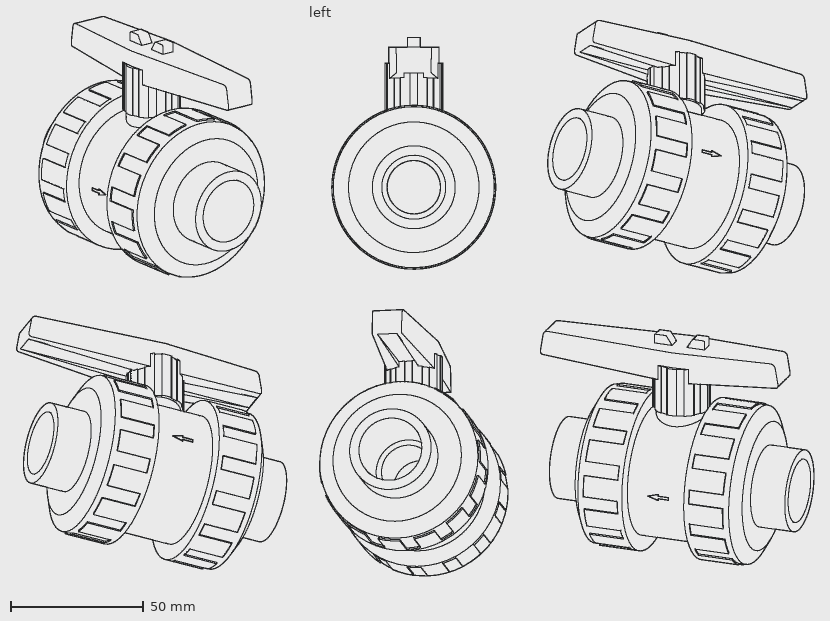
import cadquery as cq


OVERALL_LENGTH = 102.5
OVERALL_HEIGHT = 87.6

PIPE_END_X = 47.6
PIPE_RADIUS = 15.7
PIPE_BORE_RADIUS = 12.1
BALL_BORE_RADIUS = 10.0
BODY_RADIUS = 25.0

NUT_INNER_X = 12.5
NUT_OUTER_X = 33.7
NUT_DIAMETER = 62.0
NUT_RADIUS = NUT_DIAMETER / 2
NUT_RIM_RADIUS = 30.4
NUT_FACE_RADIUS = 24.7
NUT_CHAMFER_LENGTH = 3.3
NUT_RIM_LENGTH = 2.4
NUT_COLLAR_LENGTH = 1.9
GRIP_GROOVE_COUNT = 14
GRIP_GROOVE_ANGLE = 10.1
GRIP_GROOVE_OFFSET_ANGLE = 7.9

NECK_RADIUS = 9.6
STEM_RADIUS = 11.0
STEM_BOTTOM_Z = 28.0
STEM_TOP_Z = 46.9
FLUTE_COUNT = 10
FLUTE_WIDTH = 2.9
FLUTE_FLOOR_RADIUS = 10.5

HANDLE_LEFT_X = -41.3
HANDLE_RIGHT_X = OVERALL_LENGTH - PIPE_END_X
HANDLE_TOP_Z = 53.0
HANDLE_END_BOTTOM_Z = 43.3
HANDLE_MIDDLE_BOTTOM_Z = 40.8
HANDLE_LIP_TOP_Z = 45.1
HANDLE_END_LEAN = 1.3
HANDLE_MIDDLE_HALF_WIDTH = 9.5
HANDLE_LEFT_HALF_WIDTH = 6.6
HANDLE_RIGHT_HALF_WIDTH = 5.6
HANDLE_TOP_FILLET = 1.9
HANDLE_BOTTOM_FILLET = 0.9
SLOT_WIDTH = 7.4

TAB_TOP_Z = OVERALL_HEIGHT - NUT_RADIUS
TAB_OUTER_X = 10.1
TAB_TOP_INNER_X = 5.3
TAB_BASE_INNER_X = 3.0
TAB_WIDTH = 4.9
TAB_FILLET = 0.6

ARROW_HALF_LENGTH = 4.2
ARROW_SHAFT_HALF_HEIGHT = 0.5
ARROW_HEAD_HALF_HEIGHT = 1.2
ARROW_RAISE = 0.3


def x_cylinder(radius, half_length):
    """Cylinder on the pipe axis, centred on the origin."""
    return cq.Workplane("YZ").circle(radius).extrude(half_length, both=True)


def union_nut():
    """Nut on the +X side, with its grip grooves open towards the outer rim."""
    rim_end_x = NUT_OUTER_X - NUT_CHAMFER_LENGTH
    step_x = rim_end_x - NUT_RIM_LENGTH
    groove_end_x = NUT_INNER_X + NUT_COLLAR_LENGTH
    cutter_radius = 2 * NUT_RADIUS - NUT_RIM_RADIUS
    nut = (
        cq.Workplane("XY")
        .moveTo(NUT_INNER_X, 0)
        .lineTo(NUT_INNER_X, NUT_RADIUS)
        .lineTo(step_x, NUT_RADIUS)
        .lineTo(step_x, NUT_RIM_RADIUS)
        .lineTo(rim_end_x, NUT_RIM_RADIUS)
        .lineTo(NUT_OUTER_X, NUT_FACE_RADIUS)
        .lineTo(NUT_OUTER_X, 0)
        .close()
        .revolve(360, (0, 0), (1, 0))
    )
    groove = (
        cq.Workplane("XY")
        .moveTo(groove_end_x, NUT_RIM_RADIUS)
        .lineTo(step_x, NUT_RIM_RADIUS)
        .lineTo(step_x, cutter_radius)
        .lineTo(groove_end_x, cutter_radius)
        .close()
        .revolve(GRIP_GROOVE_ANGLE, (0, 0), (1, 0))
    )
    for index in range(GRIP_GROOVE_COUNT):
        middle_angle = index * 360 / GRIP_GROOVE_COUNT - GRIP_GROOVE_OFFSET_ANGLE
        nut = nut.cut(groove.rotate((0, 0, 0), (1, 0, 0), middle_angle - GRIP_GROOVE_ANGLE / 2))
    return nut


def flow_arrow():
    """Arrow plate through the body, standing slightly proud of it on both sides."""
    upper_side = [
        (-ARROW_HALF_LENGTH, ARROW_SHAFT_HALF_HEIGHT),
        (0, ARROW_SHAFT_HALF_HEIGHT),
        (0, ARROW_HEAD_HALF_HEIGHT),
    ]
    lower_side = [(x, -z) for x, z in reversed(upper_side)]
    outline = upper_side + [(ARROW_HALF_LENGTH, 0)] + lower_side
    return cq.Workplane("XZ").polyline(outline).close().extrude(BODY_RADIUS + ARROW_RAISE, both=True)


def stem():
    """Plain neck rising from the body into a fluted stem."""
    neck = cq.Workplane("XY").circle(NECK_RADIUS).extrude(STEM_TOP_Z)
    fluted = (
        cq.Workplane("XY", origin=(0, 0, STEM_BOTTOM_Z))
        .circle(STEM_RADIUS)
        .extrude(STEM_TOP_Z - STEM_BOTTOM_Z)
    )
    flute = cq.Workplane("XY").box(
        STEM_RADIUS, FLUTE_WIDTH, STEM_TOP_Z, centered=(False, True, False)
    ).translate((FLUTE_FLOOR_RADIUS, 0, STEM_BOTTOM_Z))
    for index in range(FLUTE_COUNT):
        fluted = fluted.cut(flute.rotate((0, 0, 0), (0, 0, 1), index * 360 / FLUTE_COUNT))
    return neck.union(fluted)


def handle():
    """Lever that tapers in width and in depth towards both ends, slotted underneath."""
    profile = (
        cq.Workplane("XZ")
        .polyline([
            (0, HANDLE_MIDDLE_BOTTOM_Z),
            (HANDLE_RIGHT_X, HANDLE_END_BOTTOM_Z),
            (HANDLE_RIGHT_X, HANDLE_LIP_TOP_Z),
            (HANDLE_RIGHT_X - HANDLE_END_LEAN, HANDLE_TOP_Z),
            (HANDLE_LEFT_X + HANDLE_END_LEAN, HANDLE_TOP_Z),
            (HANDLE_LEFT_X, HANDLE_LIP_TOP_Z),
            (HANDLE_LEFT_X, HANDLE_END_BOTTOM_Z),
        ])
        .close()
        .extrude(HANDLE_MIDDLE_HALF_WIDTH, both=True)
    )
    for end in ("<X", ">X"):
        profile = profile.edges("|Y").edges(">Z").edges(end).fillet(HANDLE_TOP_FILLET)
        profile = profile.edges("|Y").edges(end).edges("<Z").fillet(HANDLE_BOTTOM_FILLET)
    plan = (
        cq.Workplane("XY")
        .polyline([
            (HANDLE_LEFT_X, -HANDLE_LEFT_HALF_WIDTH),
            (0, -HANDLE_MIDDLE_HALF_WIDTH),
            (HANDLE_RIGHT_X, -HANDLE_RIGHT_HALF_WIDTH),
            (HANDLE_RIGHT_X, HANDLE_RIGHT_HALF_WIDTH),
            (0, HANDLE_MIDDLE_HALF_WIDTH),
            (HANDLE_LEFT_X, HANDLE_LEFT_HALF_WIDTH),
        ])
        .close()
        .extrude(HANDLE_TOP_Z)
    )
    slot = cq.Workplane("XY").box(
        2 * HANDLE_RIGHT_X, SLOT_WIDTH, HANDLE_END_BOTTOM_Z, centered=(True, True, False)
    )
    return profile.intersect(plan).cut(slot)


def indicator_tab():
    """Tab on the +X half of the handle, sloping towards the stem axis."""
    return (
        cq.Workplane("XZ")
        .polyline([
            (TAB_BASE_INNER_X, HANDLE_TOP_Z),
            (TAB_TOP_INNER_X, TAB_TOP_Z),
            (TAB_OUTER_X, TAB_TOP_Z),
            (TAB_OUTER_X, HANDLE_TOP_Z),
        ])
        .close()
        .extrude(TAB_WIDTH / 2, both=True)
        .edges("|Y and >Z")
        .fillet(TAB_FILLET)
    )


nut = union_nut()
tab = indicator_tab()

result = (
    x_cylinder(PIPE_RADIUS, PIPE_END_X)
    .union(x_cylinder(BODY_RADIUS, NUT_INNER_X))
    .union(nut)
    .union(nut.rotate((0, 0, 0), (0, 1, 0), 180))
    .union(flow_arrow())
    .union(stem())
    .union(handle())
    .union(tab)
    .union(tab.mirror("YZ"))
)

pipe_bores = x_cylinder(PIPE_BORE_RADIUS, PIPE_END_X).cut(x_cylinder(PIPE_BORE_RADIUS, NUT_INNER_X))
result = result.cut(x_cylinder(BALL_BORE_RADIUS, PIPE_END_X)).cut(pipe_bores)